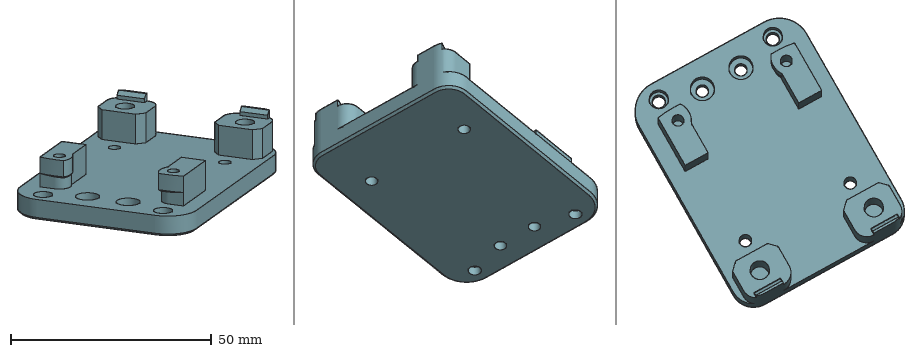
import cadquery as cq

plate_width = 48.2
plate_length = 62.1
plate_thickness = 5.35
bottom_chamfer = 0.6
front_narrowing = 0.2
rear_corner_radius = 5.8
front_corner_radius = 7.8

post_top = 13.15
post_height = post_top - plate_thickness
total_height = 15.2

post_inner_x = 9.4
post_outer_x = 22.4
post_front_y = 20.0
post_chamfer = 1.9
post_corner_radius = 3.5
post_hole_diameter = 4.8
post_hole_x = 16.35
post_hole_y = 24.95

lip_inner_x = 13.0
lip_outer_x = 20.5
lip_top_depth = 0.6
lip_base_depth = 1.6
lip_slope_height = 1.05

block_inner_x = 13.0
block_outer_x = 19.55
block_rear_y = -7.45
support_diameter = 6.0
support_x = 15.5
support_y = -18.3
block_front_y = support_y - support_diameter / 2
head_underside = 8.9
head_slope = 0.45
head_reach = 3.4
head_front_bulge = 0.4
head_root_y = -16.0
block_hole_diameter = 2.9

counterbore_depth = 2.75
plain_hole_diameter = 3.1
plain_hole_x = 15.0
plain_hole_y = 15.3
middle_counterbore_diameter = 6.0
middle_hole_x = 5.5
middle_hole_y = -23.7
corner_hole_diameter = 3.3
corner_counterbore_diameter = 4.8
corner_hole_x = 16.35
corner_hole_y = -26.7

half_width = plate_width / 2
rear_y = plate_length / 2
front_y = -rear_y


def both_sides(shape):
    """Join a shape on the -X side with its mirror image on the +X side."""
    return shape.union(shape.mirror("YZ"))


def cylinder(x, y, top, diameter, depth):
    """Upright cylinder reaching down from its top."""
    return cq.Workplane("XY", origin=(x, y, top - depth)).circle(diameter / 2).extrude(depth)


def plate_prism(height):
    """Rounded plate outline, extruded up from the underside."""
    corners = [
        (-half_width, front_y),
        (half_width - front_narrowing, front_y),
        (half_width, rear_y),
        (-half_width, rear_y),
    ]
    prism = cq.Workplane("XY").polyline(corners).close().extrude(height)
    prism = prism.edges("|Z and >Y").fillet(rear_corner_radius)
    return prism.edges("|Z and <Y").fillet(front_corner_radius)


def rear_post():
    """Post with rounded rear corners and chamfered front corners."""
    width = post_outer_x - post_inner_x
    post = (
        cq.Workplane("XY", origin=(-post_outer_x, post_front_y, plate_thickness))
        .rect(width, rear_y - post_front_y, centered=False)
        .extrude(post_height)
    )
    post = post.edges("|Z and >Y").fillet(post_corner_radius)
    return post.edges("|Z and <Y").chamfer(post_chamfer)


def retaining_lip():
    """Bar along the rear edge with a sloped front, rising from the plate."""
    profile = [
        (rear_y, plate_thickness),
        (rear_y, total_height),
        (rear_y - lip_top_depth, total_height),
        (rear_y - lip_base_depth, total_height - lip_slope_height),
        (rear_y - lip_base_depth, plate_thickness),
    ]
    return (
        cq.Workplane("YZ", origin=(-lip_outer_x, 0, 0))
        .polyline(profile)
        .close()
        .extrude(lip_outer_x - lip_inner_x)
    )


def front_block():
    """Rectangular block ending in a round support under a wider, curved head."""
    block = (
        cq.Workplane("XY", origin=(-block_outer_x, block_front_y, plate_thickness))
        .rect(block_outer_x - block_inner_x, block_rear_y - block_front_y, centered=False)
        .extrude(post_height)
    )
    corner_cut = (
        cq.Workplane("XY", origin=(-support_x, block_front_y, plate_thickness))
        .rect(support_x - block_inner_x, support_y - block_front_y, centered=False)
        .extrude(post_height)
    )
    support = cylinder(-support_x, support_y, post_top, support_diameter, post_height)
    head = (
        cq.Workplane("XY", origin=(0, 0, head_underside))
        .moveTo(-block_outer_x, head_root_y)
        .lineTo(-block_outer_x, block_front_y)
        .threePointArc(
            (-(block_outer_x + block_inner_x) / 2, block_front_y - head_front_bulge),
            (-block_inner_x, block_front_y - head_front_bulge),
        )
        .threePointArc((-support_x + head_reach, support_y), (-block_inner_x, head_root_y))
        .close()
    )
    upper_head = head.extrude(post_top - head_underside)
    sloped_underside = upper_head.faces("<Z").wires().toPending().extrude(-head_slope, taper=45)
    return block.cut(corner_cut).union(support).union(upper_head).union(sloped_underside)


def stepped_hole(x, y, hole_diameter, counterbore_diameter):
    """Through hole in the plate with a counterbore from above."""
    hole = cylinder(x, y, plate_thickness, hole_diameter, plate_thickness)
    return hole.union(cylinder(x, y, plate_thickness, counterbore_diameter, counterbore_depth))


def holes():
    """All holes on the -X side."""
    blind_post = cylinder(-post_hole_x, post_hole_y, post_top, post_hole_diameter, post_height)
    blind_block = cylinder(-support_x, support_y, post_top, block_hole_diameter, post_height)
    plain = cylinder(-plain_hole_x, plain_hole_y, plate_thickness, plain_hole_diameter, plate_thickness)
    middle = stepped_hole(-middle_hole_x, middle_hole_y, plain_hole_diameter, middle_counterbore_diameter)
    corner = stepped_hole(-corner_hole_x, corner_hole_y, corner_hole_diameter, corner_counterbore_diameter)
    return blind_post.union(blind_block).union(plain).union(middle).union(corner)


plate = plate_prism(plate_thickness).faces("<Z").chamfer(bottom_chamfer)
rear_supports = both_sides(rear_post().union(retaining_lip())).intersect(plate_prism(total_height))
front_blocks = both_sides(front_block())

result = plate.union(rear_supports).union(front_blocks).cut(both_sides(holes()))